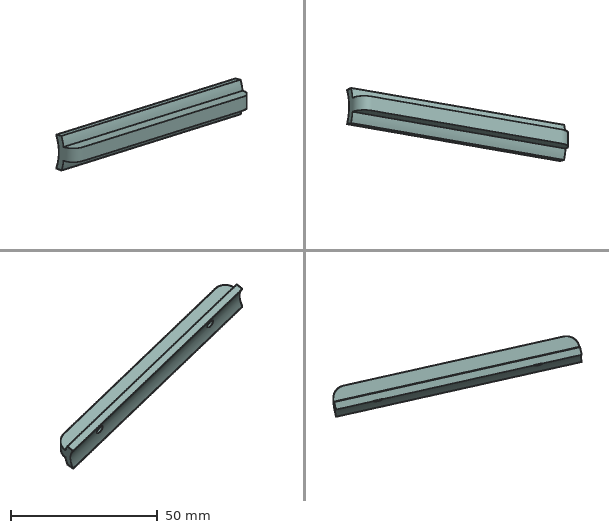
import cadquery as cq
import math

length = 85.8
height = 12.4
inner_height = 12.1
depth = 8.3
inner_radius = 15.0
wall = 2.5
rib_height = 5.0
hole_diameter = 3.0
hole_spacing = 55.9
hole_depth = 4.3

outer_radius = inner_radius + wall
half_height = height / 2
inner_half_height = inner_height / 2
axis_x = -math.sqrt(inner_radius**2 - inner_half_height**2)
inner_mid_x = axis_x + inner_radius
outer_mid_x = axis_x + outer_radius
outer_edge_x = axis_x + math.sqrt(outer_radius**2 - half_height**2)
rib_corner_radius = depth - outer_mid_x


def curved_plate():
    """Concentric arc section with slightly flared top and bottom faces, extruded along Y."""
    return (
        cq.Workplane("XZ")
        .moveTo(0, -inner_half_height)
        .threePointArc((inner_mid_x, 0), (0, inner_half_height))
        .lineTo(outer_edge_x, half_height)
        .threePointArc((outer_mid_x, 0), (outer_edge_x, -half_height))
        .close()
        .extrude(length / 2, both=True)
    )


def rib():
    """Central rib rooted inside the plate, with rounded outer corners."""
    root_x = (inner_mid_x + outer_mid_x) / 2
    return (
        cq.Workplane("XY")
        .box(depth - root_x, length, rib_height, centered=(False, True, True))
        .translate((root_x, 0, 0))
        .edges("|Z and >X")
        .fillet(rib_corner_radius)
    )


def blind_holes():
    """Two holes sunk along X from the concave face."""
    return (
        cq.Workplane("YZ")
        .pushPoints([(-hole_spacing / 2, 0), (hole_spacing / 2, 0)])
        .circle(hole_diameter / 2)
        .extrude(inner_mid_x + hole_depth)
    )


result = curved_plate().union(rib()).cut(blind_holes())